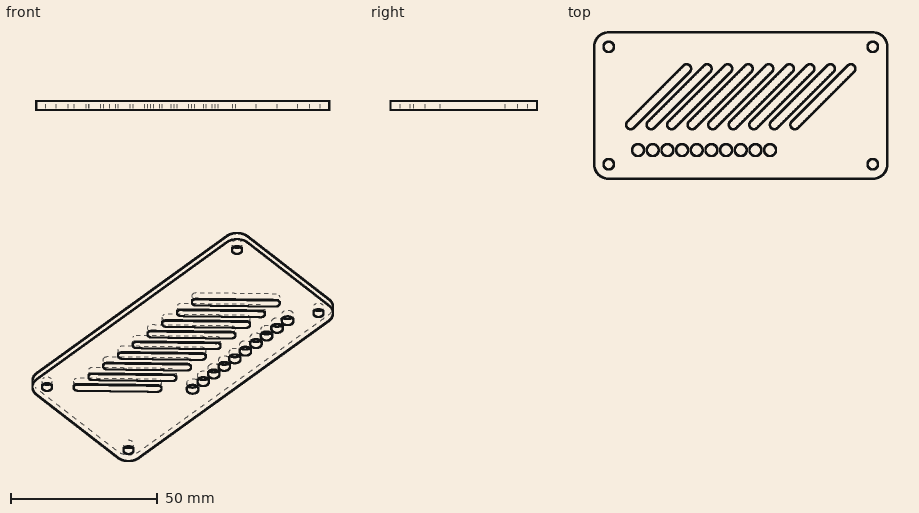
import cadquery as cq

length = 100.0
width = 50.0
thickness = 3.2
corner_radius = 5.0

mount_diameter = 3.5

row_count = 10
row_pitch = 5.0
row_diameter = 4.0
row_center_x = -12.5
row_center_y = -15.2

slot_count = 9
slot_pitch = 7.0
slot_length = 30.0
slot_width = 3.0
slot_angle = 45.0
slot_center_y = 3.0


def make_plate():
    plate = cq.Workplane("XY").box(length, width, thickness)
    return plate.edges("|Z").fillet(corner_radius)


def cut_mounting_holes(body):
    spacing_x = length - 2 * corner_radius
    spacing_y = width - 2 * corner_radius
    holes = body.faces(">Z").workplane(origin=(0, 0, 0)).rect(spacing_x, spacing_y, forConstruction=True)
    return holes.vertices().hole(mount_diameter)


def cut_hole_row(body):
    holes = body.faces(">Z").workplane(origin=(row_center_x, row_center_y, 0))
    return holes.rarray(row_pitch, 1, row_count, 1).hole(row_diameter)


def cut_slots(body):
    slots = body.faces(">Z").workplane(origin=(0, slot_center_y, 0))
    slots = slots.rarray(slot_pitch, 1, slot_count, 1)
    return slots.slot2D(slot_length, slot_width, slot_angle).cutThruAll()


result = cut_slots(cut_hole_row(cut_mounting_holes(make_plate())))